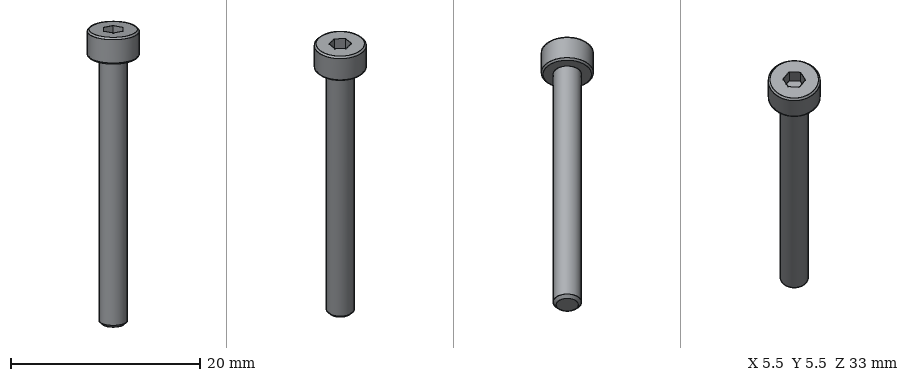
import cadquery as cq
import math

total_length = 33.0
head_diameter = 5.5
head_height = 3.0
shank_diameter = 3.0
shank_length = total_length - head_height

head_chamfer = 0.2
tip_chamfer = 0.33

socket_across_flats = 2.05
socket_depth = 1.5


def make_head():
    head = cq.Workplane("XY").circle(head_diameter / 2).extrude(head_height)
    return head.edges().chamfer(head_chamfer)


def make_shank():
    shank = cq.Workplane("XY").circle(shank_diameter / 2).extrude(-shank_length)
    return shank.faces("<Z").edges().chamfer(tip_chamfer)


def make_socket():
    across_corners = socket_across_flats / math.cos(math.radians(30))
    return (
        cq.Workplane("XY", origin=(0, 0, head_height))
        .transformed(rotate=(0, 0, 90))
        .polygon(6, across_corners)
        .extrude(-socket_depth)
    )


result = make_head().union(make_shank()).cut(make_socket())